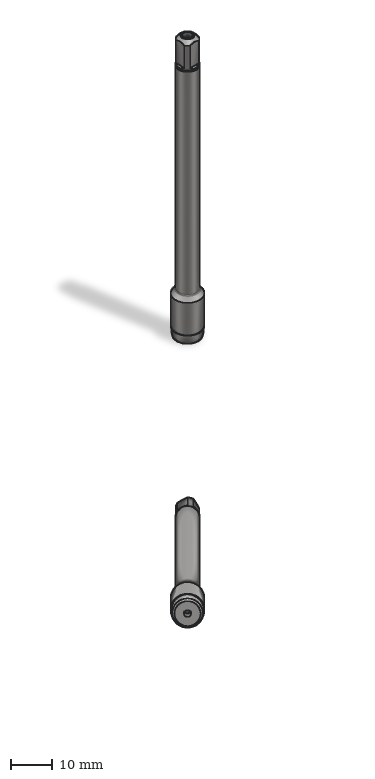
import cadquery as cq
import math

TOTAL_LENGTH = 90.0
COLLAR_DIAMETER = 8.2
SHAFT_DIAMETER = 6.0
BORE_DIAMETER = 2.5

COLLAR_BOTTOM = 3.15
COLLAR_TOP = 13.0
CONE_TOP = 14.8
CONE_FILLET = 0.9
CONE_HALF_ANGLE = 30
SHAFT_TOP = 81.2

DRIVE_DIAMETER = 5.8
ACROSS_FLATS = 4.95
DRIVE_SHOULDER = 0.4
FLAT_BOTTOM = 82.2
FLAT_RUNOUT = 0.7
RUNOUT_ANGLE = 40
DRIVE_CHAMFER = 1.2
CHAMFER_HEIGHT = 1.1
FLAT_COUNT = 4

TIP_TOP_DIAMETER = 7.8
TIP_LOWER_DIAMETER = 7.4
TIP_END_DIAMETER = 6.3
TIP_EDGE_HEIGHT = 0.45
TIP_BULGE = 0.2
TIP_BORE_DIAMETER = 1.7


def revolve(profile):
    """Turn a closed outline in the XZ plane around the Z axis."""
    return profile.revolve(360, (0, 0, 0), (0, 1, 0))


def cone_fillet_point(degrees):
    """Point on the fillet between shaft and cone, where the slope is `degrees` off the axis."""
    angle = math.radians(degrees)
    radius = SHAFT_DIAMETER / 2 + CONE_FILLET * (1 - math.cos(angle))
    height = CONE_TOP - CONE_FILLET * math.sin(angle)
    return radius, height


def flat_cutter():
    """Material outside one flat, with a sloping run-out at its lower end."""
    flat_distance = ACROSS_FLATS / 2
    outer_distance = flat_distance + FLAT_RUNOUT
    runout_height = FLAT_RUNOUT / math.tan(math.radians(RUNOUT_ANGLE))
    outline = [
        (flat_distance, FLAT_BOTTOM),
        (outer_distance, FLAT_BOTTOM - runout_height),
        (outer_distance, TOTAL_LENGTH),
        (flat_distance, TOTAL_LENGTH),
    ]
    return cq.Workplane("XZ").polyline(outline).close().extrude(SHAFT_DIAMETER / 2, both=True)


def make_shank():
    """Hollow shaft with its collar and square drive end."""
    bore_radius = BORE_DIAMETER / 2
    collar_radius = COLLAR_DIAMETER / 2
    shaft_radius = SHAFT_DIAMETER / 2
    drive_radius = DRIVE_DIAMETER / 2
    profile = (
        cq.Workplane("XZ")
        .moveTo(bore_radius, COLLAR_BOTTOM)
        .lineTo(collar_radius, COLLAR_BOTTOM)
        .lineTo(collar_radius, COLLAR_TOP)
        .lineTo(*cone_fillet_point(CONE_HALF_ANGLE))
        .threePointArc(cone_fillet_point(CONE_HALF_ANGLE / 2), cone_fillet_point(0))
        .lineTo(shaft_radius, SHAFT_TOP)
        .lineTo(drive_radius, SHAFT_TOP + DRIVE_SHOULDER)
        .lineTo(drive_radius, TOTAL_LENGTH - CHAMFER_HEIGHT)
        .lineTo(drive_radius - DRIVE_CHAMFER, TOTAL_LENGTH)
        .lineTo(bore_radius, TOTAL_LENGTH)
        .close()
    )
    shank = revolve(profile)
    for index in range(FLAT_COUNT):
        angle = index * 360 / FLAT_COUNT
        shank = shank.cut(flat_cutter().rotate((0, 0, 0), (0, 0, 1), angle))
    return shank


def make_tip():
    """Tapered end piece with a narrow bore, seated under the collar."""
    bore_radius = TIP_BORE_DIAMETER / 2
    lower_radius = TIP_LOWER_DIAMETER / 2
    top_radius = TIP_TOP_DIAMETER / 2
    middle_radius = (lower_radius + top_radius) / 2 + TIP_BULGE
    middle_height = (TIP_EDGE_HEIGHT + COLLAR_BOTTOM) / 2
    profile = (
        cq.Workplane("XZ")
        .moveTo(bore_radius, 0)
        .lineTo(TIP_END_DIAMETER / 2, 0)
        .lineTo(lower_radius, TIP_EDGE_HEIGHT)
        .threePointArc((middle_radius, middle_height), (top_radius, COLLAR_BOTTOM))
        .lineTo(bore_radius, COLLAR_BOTTOM)
        .close()
    )
    return revolve(profile)


shank = make_shank()
tip = make_tip()
result = cq.Compound.makeCompound([shank.val(), tip.val()])